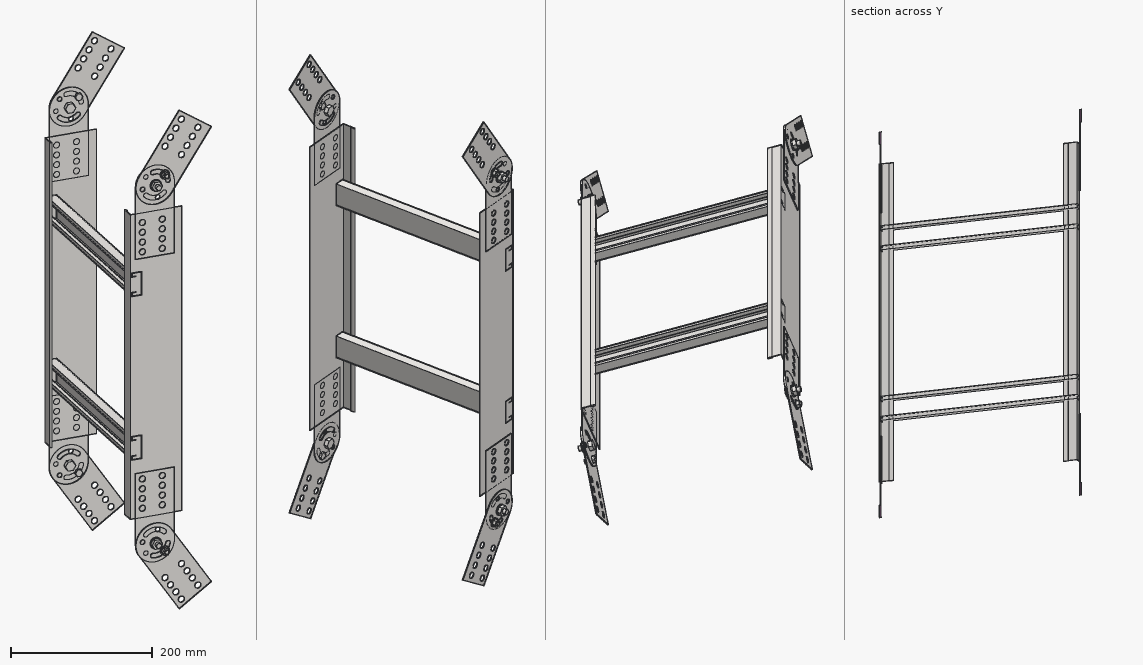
import cadquery as cq
import math

tray_width = 300.0
rail_length = 468.0
rail_depth = 80.0
rail_flange = 21.5
rail_sheet = 1.2
rail_bend = 1.15
hem_length = 7.0

rung_height = 37.0
rung_depth = 16.0
rung_sheet = 1.2
rung_lip = 7.0
rung_return = 7.0
rung_bend = 1.15
rung_offset = 125.5

plate_sheet = 1.5
plate_width = 60.0
plate_length = 110.0
arm_tilt = 34
pivot_y = 37.5
overall_length = 766.0

plate_hole = 9.0
plate_hole_rows = 4
plate_hole_pitch = 15.0
plate_hole_end_gap = 10.0
plate_hole_front = -19.0
plate_hole_back = 11.5

ring_radius = 20.0
ring_hole = 7.0
slot_half_angle = 45
stop_hole_angle = 135

washer_sheet = 1.8

half_width = tray_width / 2
half_plate = plate_width / 2
tilt = math.radians(arm_tilt)
pivot_z = overall_length / 2 - plate_length * math.cos(tilt) - half_plate * math.sin(tilt)


def ring_point(radius, angle):
    """Point in a plate's own plane; the angle turns clockwise from the plate's direction."""
    turn = math.radians(angle)
    return (radius * math.sin(turn), radius * math.cos(turn))


def side_rail():
    """Left rail: web on the outside, front flange pointing inwards with a hemmed edge."""
    hem_start = rail_flange - hem_length
    rail = (
        cq.Workplane("XY")
        .moveTo(0, rail_depth)
        .lineTo(0, 0)
        .lineTo(rail_flange, 0)
        .lineTo(rail_flange, 2 * rail_sheet)
        .lineTo(hem_start, 2 * rail_sheet)
        .lineTo(hem_start, rail_sheet)
        .lineTo(rail_sheet, rail_sheet)
        .lineTo(rail_sheet, rail_depth)
        .close()
        .extrude(rail_length)
    )
    rail = rail.edges("|Z and <Y").fillet(rail_bend)
    rail = rail.edges("|Z and >X").edges(">Y").fillet(rail_bend)
    return rail.translate((-half_width, 0, -rail_length / 2))


def rung():
    """Channel across the ladder, open to the front, with lips turned back inwards."""
    length = tray_width - 2 * rail_sheet
    slot_height = rung_height - 2 * rung_lip
    cavity_depth = rung_depth - 2 * rung_sheet
    outer = cq.Workplane("XY").box(length, rung_depth, rung_height)
    outer = outer.edges("|X").fillet(rung_bend)
    cavity = cq.Workplane("XY").box(length, cavity_depth, rung_height - 2 * rung_sheet)
    returns = (
        cq.Workplane("XY")
        .box(length, rung_return, slot_height + 2 * rung_sheet)
        .translate((0, (rung_return - rung_depth) / 2, 0))
    )
    slot = (
        cq.Workplane("XY")
        .box(length, rung_depth - rung_sheet, slot_height)
        .translate((0, -rung_sheet / 2, 0))
    )
    channel = outer.cut(cavity.cut(returns)).cut(slot)
    return channel.translate((0, 2 * rail_sheet + rung_depth / 2, 0))


def make_ladder():
    left_rail = side_rail()
    body = left_rail.union(left_rail.mirror("YZ"))
    for z in (-rung_offset, rung_offset):
        body = body.union(rung().translate((0, 0, z)))
    return body


def curved_slot():
    half = ring_hole / 2
    outer = ring_radius + half
    inner = ring_radius - half
    a = slot_half_angle
    cap = a + math.degrees(half / ring_radius)
    return (
        cq.Workplane("YZ")
        .moveTo(*ring_point(outer, -a))
        .threePointArc(ring_point(outer, 0), ring_point(outer, a))
        .threePointArc(ring_point(ring_radius, cap), ring_point(inner, a))
        .threePointArc(ring_point(inner, 0), ring_point(inner, -a))
        .threePointArc(ring_point(ring_radius, -cap), ring_point(outer, -a))
        .close()
        .extrude(plate_sheet)
    )


def hinge_plate():
    """Plate with its pivot at the origin, running up +Z, its inner face on X = 0."""
    plate = (
        cq.Workplane("YZ")
        .moveTo(-half_plate, 0)
        .threePointArc((0, -half_plate), (half_plate, 0))
        .lineTo(half_plate, plate_length)
        .lineTo(-half_plate, plate_length)
        .close()
        .extrude(plate_sheet)
    )
    last_row = plate_length - plate_hole_end_gap
    bolt_holes = [
        (y, last_row - row * plate_hole_pitch)
        for row in range(plate_hole_rows)
        for y in (plate_hole_front, plate_hole_back)
    ]
    stop_holes = [ring_point(ring_radius, a) for a in (-stop_hole_angle, stop_hole_angle)]
    plate = plate.cut(
        cq.Workplane("YZ").pushPoints(bolt_holes).circle(plate_hole / 2).extrude(plate_sheet)
    )
    plate = plate.cut(
        cq.Workplane("YZ").pushPoints(stop_holes).circle(ring_hole / 2).extrude(plate_sheet)
    )
    return plate.cut(curved_slot())


def bolt(shank, washer, hex_flats, head_height, nut_height, tip):
    """Bolt along X through both plates: head at +X, washer, nut and bare tip at -X."""
    hex_corners = hex_flats / math.cos(math.radians(30))
    outer_face = -2 * plate_sheet
    nut_face = outer_face - washer_sheet
    reach = -nut_face + nut_height + tip
    head = cq.Workplane("YZ").polygon(6, hex_corners).extrude(head_height)
    stem = cq.Workplane("YZ").circle(shank / 2).extrude(-reach)
    disc = cq.Workplane("YZ", origin=(outer_face, 0, 0)).circle(washer / 2).extrude(-washer_sheet)
    nut = cq.Workplane("YZ", origin=(nut_face, 0, 0)).polygon(6, hex_corners).extrude(-nut_height)
    return head.union(stem).union(disc).union(nut)


def make_connector():
    """Upper left connector: fixed plate against the rail, tilted arm outside it, two bolts."""
    fixed = hinge_plate().mirror("XY").translate((-plate_sheet, 0, 0))
    arm = hinge_plate().rotate((0, 0, 0), (1, 0, 0), -arm_tilt).translate((-2 * plate_sheet, 0, 0))
    pivot_bolt = bolt(shank=8.0, washer=17.0, hex_flats=14.0, head_height=6.0, nut_height=5.0, tip=5.0)
    lock_bolt = bolt(shank=6.0, washer=14.0, hex_flats=10.0, head_height=4.0, nut_height=4.5, tip=2.0)
    lock_y, lock_z = ring_point(ring_radius, 180 - stop_hole_angle)
    body = fixed.union(arm).union(pivot_bolt).union(lock_bolt.translate((0, lock_y, lock_z)))
    return body.translate((-half_width, pivot_y, pivot_z))


def place_connectors():
    upper_left = make_connector()
    placed = []
    for upper in (upper_left, upper_left.mirror("YZ")):
        for connector in (upper, upper.mirror("XY")):
            placed.append(connector.val())
    return placed


ladder = make_ladder()
connectors = place_connectors()

result = cq.Compound.makeCompound([ladder.val(), *connectors])